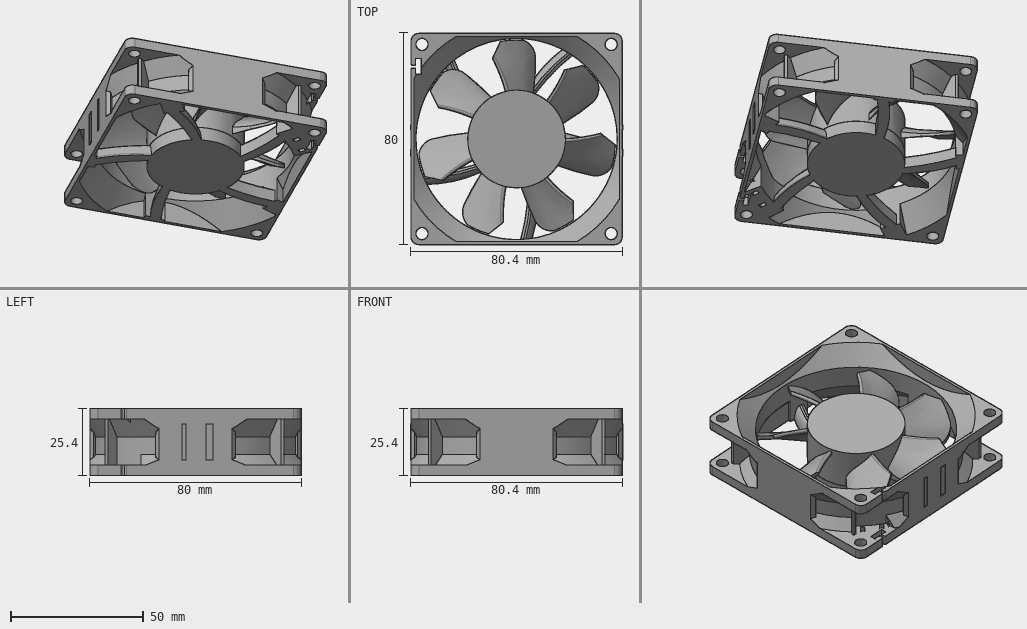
import cadquery as cq
import math

SIDE = 80.0
HALF = SIDE / 2
HEIGHT = 25.4
OUTER_CORNER_RADIUS = 3.05
FLANGE = 4.0
HOLE_SPACING = 71.55
HOLE_DIAMETER = 4.5

THROAT_RADIUS = 38.0
FLARE_RADIUS = 45.0
FLARE_SQUARE = 77.7
INLET_DEPTH = 6.5
OUTLET_DEPTH = 10.0

WALL_RADIUS = 40.45
WALL_LOW = 8.0
WALL_HIGH = 14.6
WALL_LOW_RADIUS = 44.1
WALL_HIGH_RADIUS = 44.5
POCKET_OFFSET = 38.0
POCKET_INNER_WIDTH = 33.1

WEB_THICKNESS = 1.5
WEB_TIP = 47.2
WIRE_WEB_TIP = 46.1
WIRE_WEB_SHIFT = 2.4

WIRE_CORNER = 135
PLAIN_CORNERS = (45, 225, 315)
SLOT_X = -37.15
SLOT_Y = 27.5
SLOT_WIDTH = 2.0
SLOT_LENGTH = 5.9
SLOT_MOUTH = 1.0
MOUTH_Y = 27.3
LIP_RADIUS = 0.65
RELIEF_Y = 20.7
WIRE_PAD_ANGLE = 141.0
WIRE_PAD_WIDTH = 12.9
TIE_HOLE_LENGTH = 2.6
TIE_HOLE_WIDTH = 1.6
TIE_HOLES = ((42.45, 1.05), (40.85, 8.3))

STRUT_COUNT = 5
STRUT_STEP = 360 / STRUT_COUNT
STRUT_ANGLE = 60.0
STRUT_HEIGHT = 5.6
STRUT_EDGE = 0.65
STRUT_SHOULDER = 5.15
STRUT_RIDGE = 0.25
STRUT_END_RADIUS = THROAT_RADIUS + 0.4
STRUT_STATIONS = ((16.9, 69.0, 80.8), (27.3, 61.8, 71.0), (39.4, 55.6, 62.0))
PAD_WIDTH = 7.95
BASE_RADIUS = 18.4

PANEL_HEIGHT = 13.7
PANEL_SPAN = 80.4
PANELS = ((4.4, 1.6), (-5.2, 2.6))

HUB_RADIUS = 18.5
HUB_TOP = 21.6
BLADE_COUNT = 7
BLADE_TIP_RADIUS = 37.5
BLADE_THICKNESS = 1.6
BLADE_ROOT_Y = 16.1
BLADE_TAIL_DROP = (-0.65, 0, -0.25)
BLADE_SECTIONS = (
    (BLADE_ROOT_Y, ((-2.4, 20.35), (0.8, 17.2), (4.35, 13.7), (6.9, 7.1))),
    (25.7, ((-5.6, 20.4), (-2.0, 17.5), (3.4, 13.3), (7.55, 7.1))),
    (38.6, ((-13.3, 20.8), (-5.6, 17.9), (2.4, 12.9), (7.9, 7.1))),
)


def polar(radius, angle):
    return (radius * math.cos(math.radians(angle)), radius * math.sin(math.radians(angle)))


def revolved(profile):
    """Solid of revolution about Z from (radius, z) points."""
    return cq.Workplane("XZ").polyline(profile).close().revolve(360, (0, 0), (0, 1))


def flare_pad(width, angle):
    """Block that keeps the outlet flare filled in one direction from the axis."""
    pad = cq.Workplane("XY").box(SIDE, width, OUTLET_DEPTH, centered=(False, True, False))
    return pad.rotate((0, 0, 0), (0, 0, 1), angle)


def air_passage():
    throat = cq.Workplane("XY").circle(THROAT_RADIUS).extrude(HEIGHT)
    square = cq.Workplane("XY").rect(FLARE_SQUARE, FLARE_SQUARE).extrude(HEIGHT)
    inlet_bottom = HEIGHT - INLET_DEPTH
    inlet = revolved([(0, inlet_bottom), (THROAT_RADIUS, inlet_bottom), (FLARE_RADIUS, HEIGHT), (0, HEIGHT)])
    outlet = revolved([(0, 0), (FLARE_RADIUS, 0), (THROAT_RADIUS, OUTLET_DEPTH), (0, OUTLET_DEPTH)])
    for i in range(STRUT_COUNT):
        outlet = outlet.cut(flare_pad(PAD_WIDTH, STRUT_ANGLE + i * STRUT_STEP))
    outlet = outlet.cut(flare_pad(WIRE_PAD_WIDTH, WIRE_PAD_ANGLE))
    return throat.union(inlet.intersect(square)).union(outlet.intersect(square))


def duct_wall():
    top = HEIGHT - FLANGE
    return revolved(
        [
            (0, FLANGE),
            (WALL_LOW_RADIUS, FLANGE),
            (WALL_RADIUS, WALL_LOW),
            (WALL_RADIUS, WALL_HIGH),
            (WALL_HIGH_RADIUS, top),
            (0, top),
        ]
    )


def straight_wall():
    return cq.Workplane("XY").circle(WALL_RADIUS).extrude(HEIGHT)


def corner_pocket(angle, wall, web_tip, web_shift):
    """Space between the flanges at one corner, around the duct wall and the web."""
    height = HEIGHT - 2 * FLANGE
    space = cq.Workplane("XY").box(HALF, SIDE, height, centered=(False, True, False))
    inner = cq.Workplane("XY").box(HALF, POCKET_INNER_WIDTH, height, centered=(False, True, False))
    space = space.translate((POCKET_OFFSET, 0, FLANGE)).union(inner.translate((WALL_RADIUS / 2, 0, FLANGE)))
    half = WEB_THICKNESS / 2
    shoulder = web_tip - half
    outline = [(0, -half), (shoulder, -half), (web_tip, 0), (shoulder, half), (0, half)]
    web = cq.Workplane("XY").polyline(outline).close().extrude(height)
    space = space.cut(web.translate((0, -web_shift, FLANGE)))
    return space.rotate((0, 0, 0), (0, 0, 1), angle).cut(wall)


def wire_slot():
    """T-shaped slot through both flanges, open to the -X side."""
    slot = cq.Workplane("XY").center(SLOT_X, SLOT_Y).rect(SLOT_WIDTH, SLOT_LENGTH).extrude(HEIGHT)
    mouth_half = SLOT_MOUTH / 2
    lip_x = -HALF + LIP_RADIUS
    mouth = (
        cq.Workplane("XY")
        .moveTo(SLOT_X, MOUTH_Y - mouth_half)
        .lineTo(lip_x, MOUTH_Y - mouth_half)
        .radiusArc((-HALF, MOUTH_Y - mouth_half - LIP_RADIUS), -LIP_RADIUS)
        .lineTo(-HALF, MOUTH_Y + mouth_half + LIP_RADIUS)
        .radiusArc((lip_x, MOUTH_Y + mouth_half), -LIP_RADIUS)
        .lineTo(SLOT_X, MOUTH_Y + mouth_half)
        .close()
        .extrude(HEIGHT)
    )
    return slot.union(mouth)


def wire_relief():
    """Space beside the wire corner where the duct wall drops straight to the lower flange."""
    relief = cq.Workplane("XY").box(HALF, HALF - RELIEF_Y, WALL_LOW - FLANGE, centered=False)
    relief = relief.translate((-HALF, RELIEF_Y, FLANGE))
    pocket = corner_pocket(WIRE_CORNER, straight_wall(), WIRE_WEB_TIP, WIRE_WEB_SHIFT)
    slot_side = cq.Workplane("XY").box(SIDE, HALF, HEIGHT, centered=False).translate((0, -WIRE_WEB_SHIFT, 0))
    return relief.intersect(pocket).intersect(slot_side.rotate((0, 0, 0), (0, 0, 1), WIRE_CORNER))


def tie_holes():
    """Two small holes through the lower flange beside the wire relief."""
    holes = cq.Workplane("XY").pushPoints(TIE_HOLES).rect(TIE_HOLE_LENGTH, TIE_HOLE_WIDTH).extrude(FLANGE)
    return holes.rotate((0, 0, 0), (0, 0, 1), WIRE_CORNER)


def strut():
    """Curved strut at STRUT_ANGLE: rounded along its high edge, then sloping down to its low edge."""
    sections = []
    for radius, high_angle, low_angle in STRUT_STATIONS:
        high = cq.Vector(*polar(radius, high_angle))
        low = cq.Vector(*polar(radius, low_angle))
        high_top = high + cq.Vector(0, 0, STRUT_SHOULDER)
        ridge = high + (low - high) * STRUT_RIDGE + cq.Vector(0, 0, STRUT_HEIGHT)
        low_top = low + cq.Vector(0, 0, STRUT_EDGE)
        back = cq.Edge.makeSpline([high_top, ridge, low_top])
        sides = [cq.Edge.makeLine(low_top, low), cq.Edge.makeLine(low, high), cq.Edge.makeLine(high, high_top)]
        sections.append(cq.Wire.assembleEdges([back] + sides))
    return cq.Workplane(obj=cq.Solid.makeLoft(sections))


def marking_panels():
    panels = cq.Workplane("XY")
    for y, width in PANELS:
        panel = cq.Workplane("XY").box(PANEL_SPAN, width, PANEL_HEIGHT)
        panels = panels.add(panel.translate((0, y, HEIGHT / 2)))
    return panels.combine()


def make_frame():
    body = cq.Workplane("XY").rect(SIDE, SIDE).extrude(HEIGHT).edges("|Z").fillet(OUTER_CORNER_RADIUS)
    body = body.union(marking_panels())
    body = body.cut(air_passage())
    holes = cq.Workplane("XY").rect(HOLE_SPACING, HOLE_SPACING, forConstruction=True)
    body = body.cut(holes.vertices().circle(HOLE_DIAMETER / 2).extrude(HEIGHT))
    wall = duct_wall()
    for angle in PLAIN_CORNERS:
        body = body.cut(corner_pocket(angle, wall, WEB_TIP, 0))
    body = body.cut(corner_pocket(WIRE_CORNER, wall, WIRE_WEB_TIP, WIRE_WEB_SHIFT))
    body = body.cut(wire_slot()).cut(wire_relief()).cut(tie_holes())
    body = body.union(cq.Workplane("XY").circle(BASE_RADIUS).extrude(STRUT_HEIGHT))
    arm = strut().intersect(cq.Workplane("XY").circle(STRUT_END_RADIUS).extrude(STRUT_HEIGHT))
    for i in range(STRUT_COUNT):
        body = body.union(arm.rotate((0, 0, 0), (0, 0, 1), i * STRUT_STEP))
    return body


def below(edge, position):
    """Unit vector square to a blade edge, pointing to the underside."""
    along = edge.tangentAt(position)
    return cq.Vector(along.z, 0, -along.x)


def blade_section(y, top):
    """Closed blade section at distance y from the axis, with a round leading edge and a thin tail."""
    upper = cq.Edge.makeSpline([cq.Vector(x, y, z) for x, z in top])
    lead = upper.positionAt(0)
    tail = upper.positionAt(1)
    nose_centre = lead + below(upper, 0) * (BLADE_THICKNESS / 2)
    nose_front = nose_centre - upper.tangentAt(0) * (BLADE_THICKNESS / 2)
    lead_under = lead + below(upper, 0) * BLADE_THICKNESS
    middle_under = upper.positionAt(0.5) + below(upper, 0.5) * BLADE_THICKNESS
    tail_under = tail + cq.Vector(*BLADE_TAIL_DROP)
    edge = cq.Edge.makeLine(tail, tail_under)
    lower = cq.Edge.makeSpline([tail_under, middle_under, lead_under])
    nose = cq.Edge.makeThreePointArc(lead_under, nose_front, lead)
    return cq.Wire.assembleEdges([upper, edge, lower, nose])


def blade_outline():
    """Blade plan shape: clipped leading corner, round tip and rounded trailing corner."""
    return (
        cq.Workplane("XY")
        .moveTo(-9.8, BLADE_ROOT_Y)
        .lineTo(-9.8, 29.1)
        .lineTo(-6.1, 36.97)
        .threePointArc((0, BLADE_TIP_RADIUS), (2.5, 37.4))
        .threePointArc((5.7, 35.0), (7.15, 30.55))
        .lineTo(7.1, 24.9)
        .lineTo(6.3, BLADE_ROOT_Y)
        .close()
        .extrude(HEIGHT)
    )


def make_blade():
    sheet = cq.Solid.makeLoft([blade_section(y, top) for y, top in BLADE_SECTIONS])
    return cq.Workplane(obj=sheet).intersect(blade_outline())


def make_rotor():
    hub = cq.Workplane("XY").workplane(offset=STRUT_HEIGHT).circle(HUB_RADIUS).extrude(HUB_TOP - STRUT_HEIGHT)
    blade = make_blade()
    for i in range(BLADE_COUNT):
        hub = hub.union(blade.rotate((0, 0, 0), (0, 0, 1), i * 360 / BLADE_COUNT))
    return hub


frame = make_frame()
rotor = make_rotor()
result = cq.Compound.makeCompound([frame.solids().val(), rotor.solids().val()])